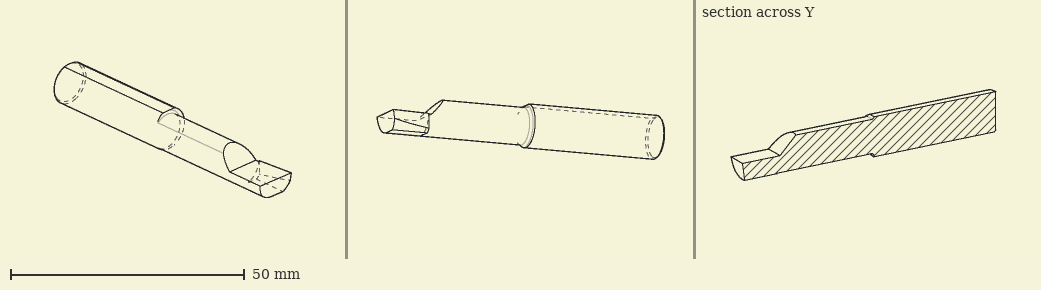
import cadquery as cq
import math

total_length = 63.5
shank_radius = 4.75
shank_length = 30.5
shank_flat_height = 4.45
shank_chamfer = 0.4
neck_radius = 4.05
neck_top_y = 3.1
neck_blend = 0.6
ramp_end_x = 54.0
head_start_x = 54.75
head_root_y = 3.5
cutting_tip_y = 4.4
end_clearance_angle = 8.0
end_relief_angle = 1.2

neck_axis_y = neck_top_y - neck_radius
margin = 3.2


def x_cylinder(radius, start_x, length, axis_y=0):
    return cq.Workplane("YZ", origin=(start_x, axis_y, 0)).circle(radius).extrude(length)


def make_shank():
    return x_cylinder(shank_radius, 0, shank_length).faces("<X").chamfer(shank_chamfer)


def make_flat_cutter():
    """Levels the top of the shank and of the neck blend."""
    return cq.Workplane("XY", origin=(0, 0, shank_flat_height)).rect(
        2 * total_length, 4 * shank_radius).extrude(margin)


def make_neck():
    """Eccentric round neck with a concave blend at its root."""
    blend_offset = neck_blend * (1 - math.sqrt(0.5))
    profile = (
        cq.Workplane("XY")
        .moveTo(shank_length, 0)
        .lineTo(shank_length, neck_radius + neck_blend)
        .threePointArc(
            (shank_length + blend_offset, neck_radius + blend_offset),
            (shank_length + neck_blend, neck_radius),
        )
        .lineTo(total_length, neck_radius)
        .lineTo(total_length, 0)
        .close()
    )
    return profile.revolve(360, (0, 0, 0), (1, 0, 0)).translate((0, neck_axis_y, 0))


def make_head():
    """Cutting head, widening towards the tip on the +Y side."""
    outline = [
        (head_start_x, neck_axis_y),
        (head_start_x, head_root_y),
        (total_length, cutting_tip_y),
        (total_length, neck_axis_y),
    ]
    return cq.Workplane("XY").polyline(outline).close().extrude(-neck_radius)


def make_ramp_cutter():
    """Removes everything above the rake face at Z = 0, back to the 45 degree ramp."""
    height = shank_radius + margin
    outline = [
        (ramp_end_x, 0),
        (ramp_end_x - height, height),
        (total_length + margin, height),
        (total_length + margin, 0),
    ]
    return cq.Workplane("XZ").polyline(outline).close().extrude(2 * shank_radius, both=True)


def make_end_cutter():
    """Gives the end face its clearance, pivoting on the cutting tip."""
    depth = shank_radius + margin
    setback = depth * math.tan(math.radians(end_clearance_angle))
    outline = [
        (total_length, 0),
        (total_length - setback, -depth),
        (total_length + margin, -depth),
        (total_length + margin, 0),
    ]
    cutter = cq.Workplane("XZ").polyline(outline).close().extrude(3 * shank_radius, both=True)
    pivot = (total_length, cutting_tip_y, 0)
    pivot_top = (total_length, cutting_tip_y, 1)
    return cutter.rotate(pivot, pivot_top, -end_relief_angle)


envelope = x_cylinder(shank_radius, shank_length, total_length - shank_length)
working_end = make_neck().union(make_head()).intersect(envelope)
working_end = working_end.cut(make_ramp_cutter()).cut(make_end_cutter())

result = make_shank().union(working_end).cut(make_flat_cutter())